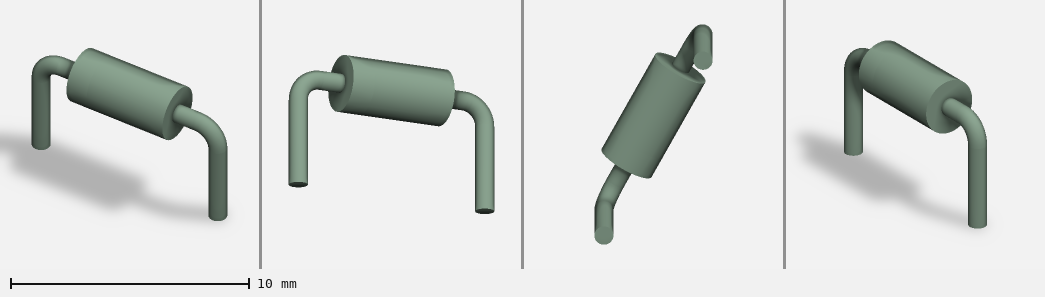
import cadquery as cq

overall_length = 9.5
overall_height = 5.9
body_diameter = 2.4
body_length = 4.72
band_length = 1.0
wire_diameter = 0.8
bend_radius = 1.0

body_end_x = body_length / 2
band_edge_x = band_length - body_end_x
leg_x = (overall_length - wire_diameter) / 2
leg_bottom_z = body_diameter / 2 - overall_height
bend_start_x = leg_x - bend_radius


def cylinder_along_x(diameter, start_x, end_x):
    """Cylinder on the X axis between two X positions."""
    return (
        cq.Workplane("YZ", origin=(start_x, 0, 0))
        .circle(diameter / 2)
        .extrude(end_x - start_x)
    )


def bent_leg():
    """Quarter bend and straight leg at the +X end of the wire."""
    bend = (
        cq.Workplane("YZ", origin=(bend_start_x, 0, 0))
        .circle(wire_diameter / 2)
        .revolve(90, (-0.095, -bend_radius), (0.095, -bend_radius))
    )
    leg = (
        cq.Workplane("XY", origin=(leg_x, 0, leg_bottom_z))
        .circle(wire_diameter / 2)
        .extrude(-bend_radius - leg_bottom_z)
    )
    return bend.union(leg)


band = cylinder_along_x(body_diameter, -body_end_x, band_edge_x)
main_body = cylinder_along_x(body_diameter, band_edge_x, body_end_x)
straight_wire = cylinder_along_x(wire_diameter, -bend_start_x, bend_start_x)
right_leg = bent_leg()
left_leg = right_leg.mirror("YZ")

result = band
for piece in (main_body, straight_wire, right_leg, left_leg):
    result = result.union(piece, clean=False)